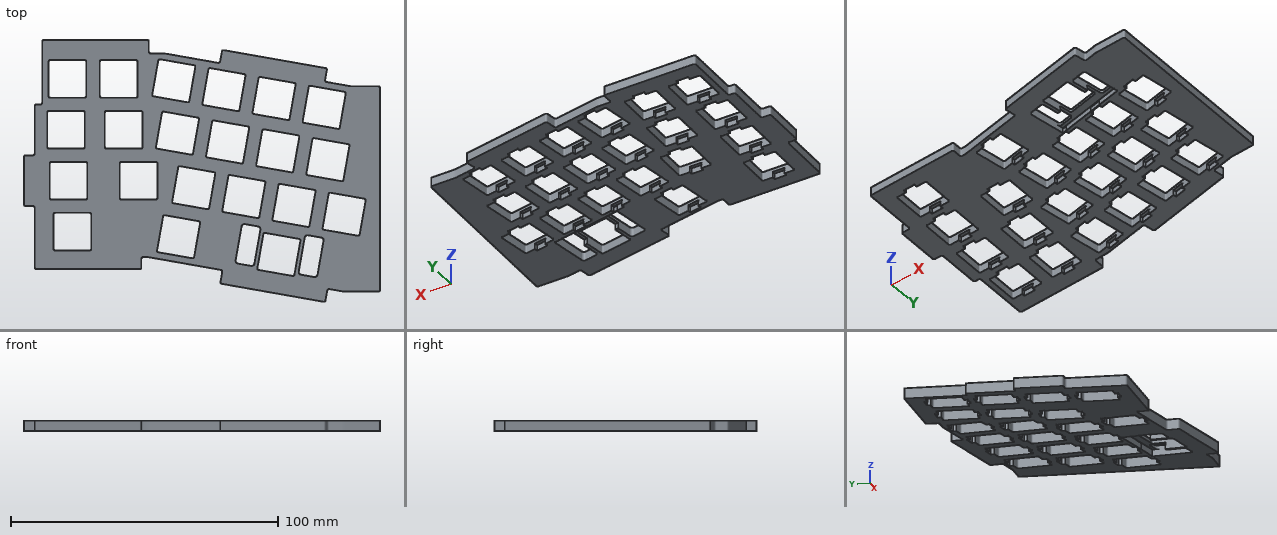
import cadquery as cq
import math

LENGTH = 133.2
WIDTH = 98.0
THICKNESS = 4.0
LIP = 1.5
CORNER_RADIUS = 0.7
BEND_RADIUS = 8.0

PITCH = 19.0
TILT = 10.0

KEY = 14.0
KEY_RADIUS = 0.5
CLIP_WIDTH = 5.0
CLIP_DEPTH = 1.3

SLOT_WIDTH = 7.0
SLOT_HEIGHT = 14.9
SLOT_RADIUS = 1.0
SLOT_SPACING = 24.0
SLOT_CENTRE = 1.5
POCKET_BOTTOM = 1.7
POCKET_TOP = 10.4

TAB_WIDTH = 40.0
TAB_HEIGHT = 5.0
TOP_TAB_START = -0.47
BOTTOM_TAB_START = 14.0
UPPER_LEFT = -59.8
LOWER_LEFT = -62.6
STRAIGHT_BOTTOM = -36.8
TILTED_TOP = 40.9
RIGHT_TOP = 31.7
RIGHT_BOTTOM = -45.2

STRAIGHT_TOP = WIDTH / 2 - TAB_HEIGHT
STRAIGHT_ROWS = [[-50.3, -31.2], [-50.9, -29.3], [-50.0, -23.7], [-48.5]]

TILTED_FIRST_KEY = -16.3
TILTED_ROWS = [(0, 4), (PITCH / 4, 4), (PITCH * 3 / 4, 4), (PITCH * 5 / 8, 1)]
STABILISED_STEP = 2 * PITCH


def row_edge(top, row):
    """Upper boundary of a key row, counting down from the top of its block."""
    return top - row * PITCH


def row_centre(top, row):
    """Centre line of a key row."""
    return row_edge(top, row) - PITCH / 2


def tilted(along, height):
    """Plate X, Y of a place given in the tilted axes."""
    angle = math.radians(TILT)
    x = along * math.cos(angle) + height * math.sin(angle)
    y = height * math.cos(angle) - along * math.sin(angle)
    return x, y


def bend(height, y):
    """Plate X, Y where the tilted line at this height crosses the level line at y."""
    angle = math.radians(TILT)
    return (height - y * math.cos(angle)) / math.sin(angle), y


def round_corners(body, corners, radius):
    """Fillet the upright edges standing on the given X, Y corners."""
    for x, y in corners:
        edge = cq.selectors.NearestToPointSelector((x, y, THICKNESS / 2))
        body = body.edges("|Z").edges(edge).fillet(radius)
    return body


def block(width, height, depth, centre_y=0):
    """Box standing on Z = 0, centred in X."""
    return cq.Workplane("XY").center(0, centre_y).rect(width, height).extrude(depth)


def opening():
    """Plain square switch opening."""
    return block(KEY, KEY, THICKNESS).edges("|Z").fillet(KEY_RADIUS)


def switch_cutter():
    """Switch opening with its two clip recesses."""
    clips = block(CLIP_WIDTH, KEY + 2 * CLIP_DEPTH, THICKNESS - LIP)
    return opening().union(clips)


def stabilised_cutter():
    """Switch opening between two slots, over a shared pocket."""
    slot = block(SLOT_WIDTH, SLOT_HEIGHT, THICKNESS, SLOT_CENTRE).edges("|Z").fillet(SLOT_RADIUS)
    pocket = block(
        SLOT_SPACING + SLOT_WIDTH,
        POCKET_TOP - POCKET_BOTTOM,
        THICKNESS - LIP,
        (POCKET_TOP + POCKET_BOTTOM) / 2,
    )
    cutter = opening().union(pocket)
    for side in (-1, 1):
        cutter = cutter.union(slot.translate((side * SLOT_SPACING / 2, 0, 0)))
    return cutter


def place_tilted(cutter, along, height):
    """Turn a cutter with the tilted block and move it to its place there."""
    x, y = tilted(along, height)
    return cutter.rotate((0, 0, 0), (0, 0, 1), -TILT).translate((x, y, 0))


def plate_blank():
    """Stepped plate outline with rounded corners."""
    left, right = -LENGTH / 2, LENGTH / 2
    top = WIDTH / 2

    row_edges = [row_edge(STRAIGHT_TOP, row) for row in range(len(STRAIGHT_ROWS) + 1)]
    upper_right = UPPER_LEFT + TAB_WIDTH
    lower_right = LOWER_LEFT + TAB_WIDTH

    tilted_bottom = row_edge(TILTED_TOP, len(TILTED_ROWS))
    top_tab_end = TOP_TAB_START + TAB_WIDTH
    bottom_tab_end = BOTTOM_TAB_START + TAB_WIDTH

    top_left_bend = bend(TILTED_TOP, row_edges[0])
    top_right_bend = bend(TILTED_TOP, RIGHT_TOP)
    bottom_right_bend = bend(tilted_bottom, RIGHT_BOTTOM)
    bottom_left_bend = bend(tilted_bottom, row_edges[-1])
    bends = [top_left_bend, top_right_bend, bottom_right_bend, bottom_left_bend]

    outline = [
        (UPPER_LEFT, top),
        (upper_right, top),
        (upper_right, row_edges[0]),
        top_left_bend,
        tilted(TOP_TAB_START, TILTED_TOP),
        tilted(TOP_TAB_START, TILTED_TOP + TAB_HEIGHT),
        tilted(top_tab_end, TILTED_TOP + TAB_HEIGHT),
        tilted(top_tab_end, TILTED_TOP),
        top_right_bend,
        (right, RIGHT_TOP),
        (right, RIGHT_BOTTOM),
        bottom_right_bend,
        tilted(bottom_tab_end, tilted_bottom),
        tilted(bottom_tab_end, tilted_bottom - TAB_HEIGHT),
        tilted(BOTTOM_TAB_START, tilted_bottom - TAB_HEIGHT),
        tilted(BOTTOM_TAB_START, tilted_bottom),
        bottom_left_bend,
        (lower_right, row_edges[-1]),
        (lower_right, STRAIGHT_BOTTOM),
        (LOWER_LEFT, STRAIGHT_BOTTOM),
        (LOWER_LEFT, row_edges[3]),
        (left, row_edges[3]),
        (left, row_edges[2]),
        (LOWER_LEFT, row_edges[2]),
        (LOWER_LEFT, row_edges[1]),
        (UPPER_LEFT, row_edges[1]),
    ]
    corners = [point for point in outline if point not in bends]
    blank = cq.Workplane("XY").polyline(outline).close().extrude(THICKNESS)
    blank = round_corners(blank, corners, CORNER_RADIUS)
    return round_corners(blank, bends, BEND_RADIUS)


plate = plate_blank()
switch = switch_cutter()

for row, keys in enumerate(STRAIGHT_ROWS):
    for x in keys:
        plate = plate.cut(switch.translate((x, row_centre(STRAIGHT_TOP, row), 0)))

for row, (stagger, count) in enumerate(TILTED_ROWS):
    for column in range(count):
        along = TILTED_FIRST_KEY + stagger + column * PITCH
        plate = plate.cut(place_tilted(switch, along, row_centre(TILTED_TOP, row)))

last_row = len(TILTED_ROWS) - 1
last_stagger = TILTED_ROWS[last_row][0]
stabilised_along = TILTED_FIRST_KEY + last_stagger + STABILISED_STEP
plate = plate.cut(place_tilted(stabilised_cutter(), stabilised_along, row_centre(TILTED_TOP, last_row)))

result = plate